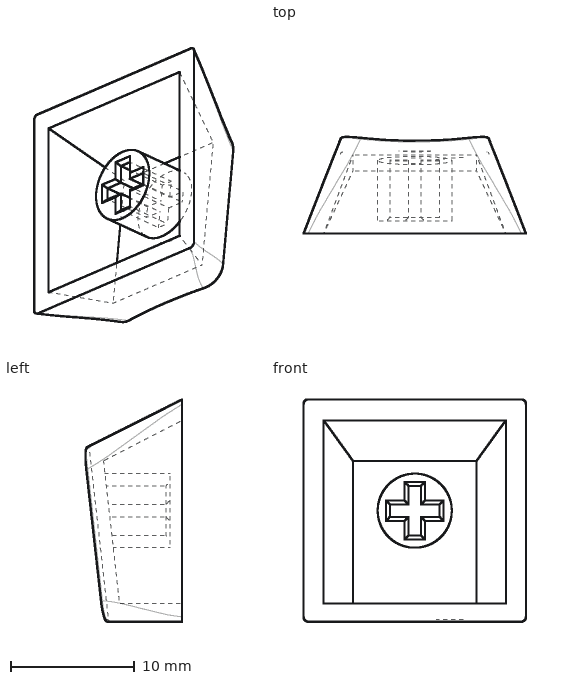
import cadquery as cq
import math

BASE_SIZE = 18.0
HALF_BASE = BASE_SIZE / 2
BASE_CORNER_RADIUS = 0.4
TOP_CORNER_RADIUS = 1.8
BLANK_HALF_WIDTH = 5.95
BLANK_UPPER_Z = 5.0
TOP_EDGE_RADIUS = 0.22

TOP_TILT = 6.4
TOP_HEIGHT = 7.42
DISH_DEPTH = 0.47
DISH_RADIUS = (BLANK_HALF_WIDTH**2 + DISH_DEPTH**2) / (2 * DISH_DEPTH)
DISH_LENGTH = 3 * BASE_SIZE

MOUTH_HALF_WIDTH = 7.36
MOUTH_UPPER_Z = 7.3
CAVITY_LOWER_Z = -7.5
FLOOR_HALF_WIDTH = 5.0
FLOOR_UPPER_Z = 4.03
ROOF_THICKNESS = 1.51

STEM_DIAMETER = 6.0
STEM_FACE_Y = 1.0
CROSS_LENGTH = 4.0
CROSS_WIDTH = 1.0
CROSS_CHAMFER = 0.32
CROSS_CHAMFER_ANGLE = 45.0

TOLERANCE = 1e-6


def top_plane_y(z):
    """Y of the tilted top plane at height z."""
    return TOP_HEIGHT + z * math.tan(math.radians(TOP_TILT))


def floor_y(z):
    """Y of the cavity floor at height z, parallel to the top plane."""
    return top_plane_y(z) - ROOF_THICKNESS


STEM_LENGTH = floor_y(0) + ROOF_THICKNESS / 2 - STEM_FACE_Y


def rectangle_wire(half_width, lower_z, upper_z, height_at):
    """Closed rectangle, symmetric in X, whose Y follows height_at(z)."""
    corners = [
        (-half_width, lower_z),
        (half_width, lower_z),
        (half_width, upper_z),
        (-half_width, upper_z),
    ]
    points = [cq.Vector(x, height_at(z), z) for x, z in corners]
    return cq.Wire.makePolygon(points, close=True)


def base_y(z):
    """Y of the flat base plane."""
    return 0.0


def make_blank():
    """Tapered square blank with corners that grow rounder towards the top."""
    base = rectangle_wire(HALF_BASE, -HALF_BASE, HALF_BASE, base_y)
    top = rectangle_wire(BLANK_HALF_WIDTH, -HALF_BASE, BLANK_UPPER_Z, top_plane_y)
    blank = cq.Solid.makeLoft([base, top], True)
    rounding = cq.occ_impl.shapes.BRepFilletAPI_MakeFillet(blank.wrapped)
    for edge in blank.Edges():
        start_y = edge.startPoint().y
        end_y = edge.endPoint().y
        starts_on_base = abs(start_y) < TOLERANCE
        ends_on_base = abs(end_y) < TOLERANCE
        if starts_on_base and not ends_on_base:
            rounding.Add(BASE_CORNER_RADIUS, TOP_CORNER_RADIUS, edge.wrapped)
        elif ends_on_base and not starts_on_base:
            rounding.Add(TOP_CORNER_RADIUS, BASE_CORNER_RADIUS, edge.wrapped)
    return cq.Workplane(obj=cq.Shape.cast(rounding.Shape()))


def make_dish_cutter():
    """Cylinder running along the tilted top, sinking DISH_DEPTH below it."""
    tilt = math.radians(TOP_TILT)
    along = cq.Vector(0, math.sin(tilt), math.cos(tilt))
    normal = cq.Vector(0, math.cos(tilt), -math.sin(tilt))
    middle = cq.Vector(0, TOP_HEIGHT, 0) + normal * (DISH_RADIUS - DISH_DEPTH)
    start = middle - along * (DISH_LENGTH / 2)
    return cq.Workplane(obj=cq.Solid.makeCylinder(DISH_RADIUS, DISH_LENGTH, start, along))


def make_shell():
    """Dished outer body with a softened top edge."""
    dished = make_blank().cut(make_dish_cutter())
    return dished.faces(">Y").edges().fillet(TOP_EDGE_RADIUS)


def make_cavity():
    """Tapered hollow with a floor parallel to the tilted top."""
    mouth = rectangle_wire(MOUTH_HALF_WIDTH, CAVITY_LOWER_Z, MOUTH_UPPER_Z, base_y)
    floor = rectangle_wire(FLOOR_HALF_WIDTH, CAVITY_LOWER_Z, FLOOR_UPPER_Z, floor_y)
    return cq.Workplane(obj=cq.Solid.makeLoft([mouth, floor], True))


def along_y(start_y):
    """Workplane at start_y that extrudes towards +Y, with local X along +X."""
    return cq.Workplane(cq.Plane((0, start_y, 0), xDir=(1, 0, 0), normal=(0, 1, 0)))


def make_cross_socket():
    """Cross-shaped cutter with a flared mouth, as long as the stem."""
    socket = None
    for length, width in ((CROSS_LENGTH, CROSS_WIDTH), (CROSS_WIDTH, CROSS_LENGTH)):
        bar = along_y(STEM_FACE_Y).rect(length, width).extrude(STEM_LENGTH)
        flare = (
            along_y(STEM_FACE_Y)
            .rect(length + 2 * CROSS_CHAMFER, width + 2 * CROSS_CHAMFER)
            .extrude(CROSS_CHAMFER, taper=CROSS_CHAMFER_ANGLE)
        )
        arm = bar.union(flare)
        socket = arm if socket is None else socket.union(arm)
    return socket


def make_stem():
    """Round post with its socket open right through, from STEM_FACE_Y into the roof."""
    post = along_y(STEM_FACE_Y).circle(STEM_DIAMETER / 2).extrude(STEM_LENGTH)
    return post.cut(make_cross_socket())


result = make_shell().cut(make_cavity()).union(make_stem())